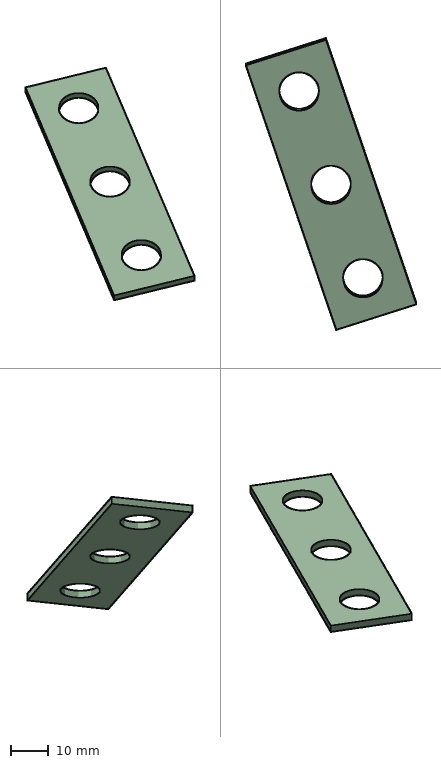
import cadquery as cq

length = 76.2
width = 22.3
thickness = 2.0

hole_diameter = 10.45
hole_count = 3
hole_pitch = 26.9

strip = cq.Workplane("XY").box(length, width, thickness)

result = (
    strip.faces(">Z")
    .workplane()
    .rarray(hole_pitch, width, hole_count, 1)
    .hole(hole_diameter)
)